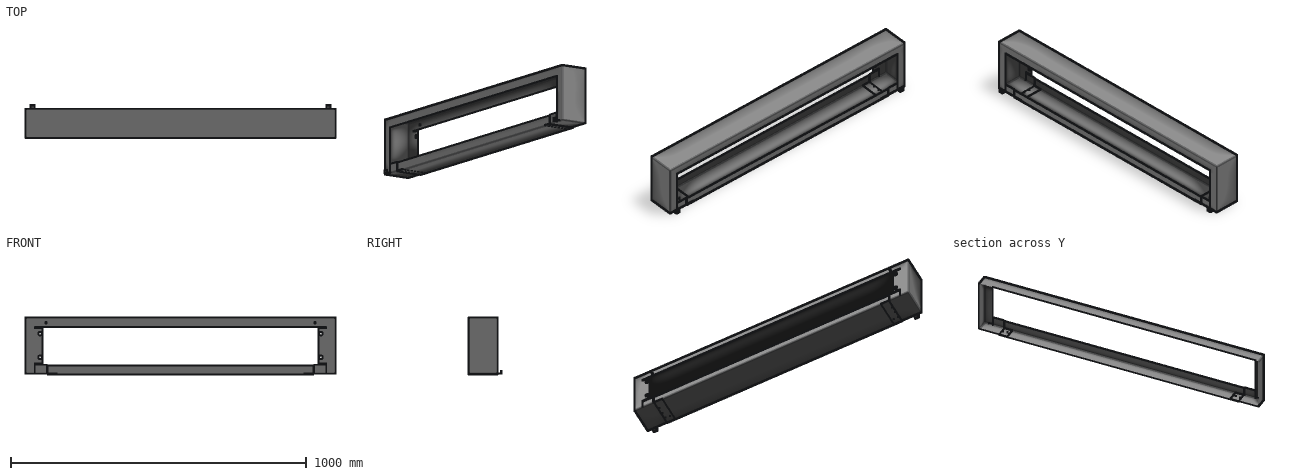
import cadquery as cq

length = 1050.0
total_depth = 112.0
total_height = 194.0
sheet = 2.5
bend_radius = 3.0

depth = 100.0
frame_bottom = sheet - total_height
floor_top = frame_bottom + sheet
top_band = 34.0
front_side_band = 59.0

tab_start = 33.0
tab_end = 74.0
tab_height = 32.0
tab_top = frame_bottom + tab_height
tongue_end = 107.0

slit_gap = 3.0
tab_side_gap = 0.5

side_hole_diameter = 12.0
side_hole_x = 50.0
side_hole_z = (-56.0, -135.0)
top_hole_diameter = 5.0
top_hole_x = 70.0
top_hole_z = -19.0
tongue_hole_diameter = 2.0
tongue_holes = ((81.0, 33.0), (81.0, 55.0), (81.0, 77.0), (98.0, 79.0))

hook_start = 18.0
hook_height = 10.0

end_gap = 2.6
channel_start = tab_end + end_gap
channel_height = tab_height


def block(x0, x1, y0, y1, z0, z1):
    """Box between two opposite corners."""
    return cq.Workplane("XY").box(x1 - x0, y1 - y0, z1 - z0, centered=False).translate((x0, y0, z0))


def mirrored(left):
    """Copy of a left-end shape at the right end."""
    return left.mirror("YZ", (length / 2, 0, 0))


def cut_both_ends(body, left):
    return body.cut(left).cut(mirrored(left))


def front_hole(x, z, diameter):
    """Cylinder along Y through the front sheet."""
    return cq.Workplane("XZ").center(x, z).circle(diameter / 2).extrude(-sheet)


def folded_shell():
    """Closed sheet box with rounded bends."""
    outer = block(0, length, 0, depth, frame_bottom, 0).edges().fillet(bend_radius)
    inner = block(sheet, length - sheet, sheet, depth - sheet, floor_top, -sheet)
    return outer.cut(inner.edges().fillet(bend_radius - sheet))


def cut_openings(frame):
    """Front and back windows, and the floor opening between the end tabs."""
    middle = depth / 2
    frame = frame.cut(block(front_side_band, length - front_side_band, 0, middle, tab_top, -top_band))
    frame = frame.cut(block(tab_start, length - tab_start, middle, depth, tab_top, -top_band))
    frame = frame.cut(block(tongue_end, length - tongue_end, 0, depth, frame_bottom, tab_top))

    for y0, y1 in ((0, bend_radius), (depth - bend_radius, depth)):
        frame = cut_both_ends(frame, block(tab_end, tongue_end, y0, y1, frame_bottom, tab_top))
    return frame


def cut_slits(frame):
    for z in (-top_band - slit_gap, tab_top):
        frame = cut_both_ends(frame, block(tab_start, front_side_band, 0, sheet, z, z + slit_gap))
    tab_end_slit = block(tab_start, tab_start + tab_side_gap, 0, depth, floor_top, tab_top)
    return cut_both_ends(frame, tab_end_slit)


def cut_holes(frame):
    for z in side_hole_z:
        frame = cut_both_ends(frame, front_hole(side_hole_x, z, side_hole_diameter))
    frame = cut_both_ends(frame, front_hole(top_hole_x, top_hole_z, top_hole_diameter))
    for x, y in tongue_holes:
        drill = cq.Workplane("XY", (x, y, frame_bottom)).circle(tongue_hole_diameter / 2).extrude(sheet)
        frame = cut_both_ends(frame, drill)
    return frame


def make_hook():
    """Floor strip that runs out of the back and turns up into a lip."""
    base = block(hook_start, tab_start, depth - bend_radius, total_depth, frame_bottom, floor_top)
    lip_top = frame_bottom + hook_height
    lip = block(hook_start, tab_start, total_depth - sheet, total_depth, frame_bottom, lip_top)
    return base.union(lip)


def make_frame():
    frame = cut_holes(cut_slits(cut_openings(folded_shell())))
    hook = make_hook()
    return frame.union(hook).union(mirrored(hook))


def make_channel():
    """U section, open at the top, under the two tongues."""
    x0 = channel_start
    x1 = length - channel_start
    top = channel_height - total_height
    outer = block(x0, x1, 0, depth, -total_height, top).edges("|X and <Z").fillet(bend_radius)
    inner = block(x0, x1, sheet, depth - sheet, frame_bottom, top)
    return outer.cut(inner.edges("|X and <Z").fillet(bend_radius - sheet))


frame = make_frame()
channel = make_channel()
result = cq.Compound.makeCompound([frame.val(), channel.val()])